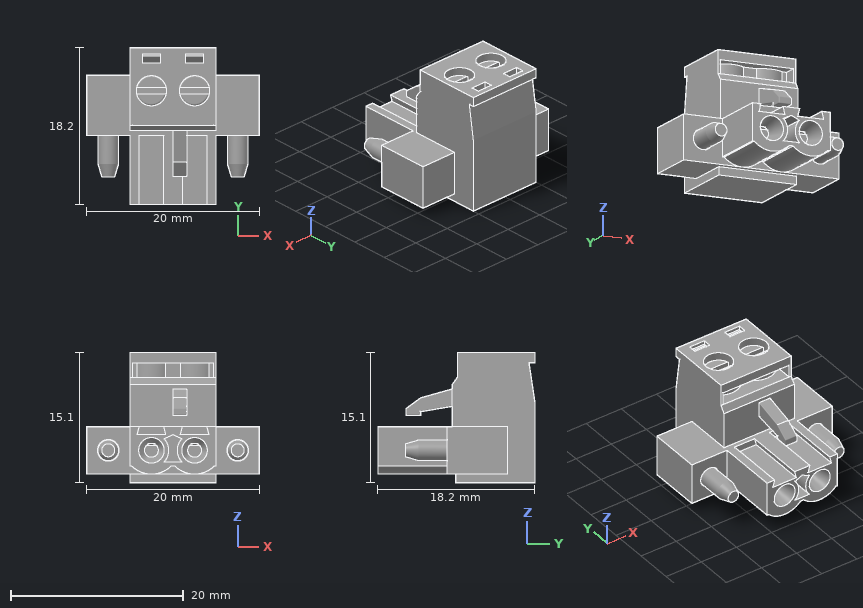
import cadquery as cq
import math


pitch = 5.0
pole_xs = (-pitch / 2, pitch / 2)
housing_width = 2 * pitch
half_width = housing_width / 2
flange_width = 4 * pitch
total_depth = 18.2
total_height = 15.1

flange_front = 8.0
flange_back = 15.0
flange_bottom = 1.0
flange_top = 6.52
axis_z = (flange_bottom + flange_top) / 2
nose_edge_z = 1.95
belly_half_chord = 2.28

foot_front = 9.0
shoulder_front = 8.6
shoulder_top = 11.4
head_front = 9.2
head_bottom = 12.22
lip_height = 1.2
lip_bottom = total_height - lip_height
lip_overhang = 0.68
back_slope_start = 9.35

recess_width = 9.4
recess_depth = 1.85
bump_radius = 2.7

groove_top_width = 2.85
groove_floor_width = 3.32
groove_depth = 0.95

pocket_wall_radius = 2.0
pocket_half_height = 1.35
pocket_peak = 1.82

socket_mouth_dia = 2.95
socket_throat_dia = 1.6
socket_depth = 2.6
contact_size = 2.0
contact_length = 4.0
contact_step_z = 0.55
contact_step_depth = 0.25

screw_y = 13.2
screw_dia = 3.5
screw_sink = 0.95
screw_height = 1.6
screw_top = total_height - screw_sink
screw_bottom = screw_top - screw_height
screw_round = 0.22
driver_slot_width = 0.8
driver_slot_depth = 0.8

test_slot_width = 2.05
test_slot_back = 17.48
test_slot_front = 16.45
test_slot_depth = 1.6
test_slot_bottom = total_height - test_slot_depth
test_piece_sink = 0.48
test_piece_flat = 0.28

pin_x = 1.5 * pitch
pin_xs = (-pin_x, pin_x)
pin_dia = 2.4
pin_hole_dia = 2.5
pin_hole_depth = 2.0
pin_taper_start = 4.7
pin_tip_y = 3.2
pin_tip_dia = 1.5

lever_left = -0.02
lever_width = 1.62
lever_root_top = 10.88
lever_root_bottom = 8.85
lever_bend_y = 4.95
lever_bend_z = 9.85
lever_tip_y = 3.25
lever_tip_z = 8.6
lever_hook_top = 8.22
lever_hook_bottom = 7.78
lever_round = 0.12


def box(x_center, width, y_front, y_back, z_bottom, z_top):
    """Box centred on x_center between the given Y and Z limits."""
    size = (width, y_back - y_front, z_top - z_bottom)
    corner = (x_center - width / 2, y_front, z_bottom)
    return cq.Workplane("XY").box(*size, centered=False).translate(corner)


def facing_back(y):
    """Sketch plane at the given Y whose extrusions run toward +Y; local y is -Z."""
    return cq.Workplane(cq.Plane(origin=(0, y, 0), xDir=(1, 0, 0), normal=(0, 1, 0)))


def prism_along_y(outline, y_front, y_back):
    """Extrude a closed outline of (x, z) drawn on the XZ plane from y_front to y_back."""
    return outline.extrude(-(y_back - y_front)).translate((0, y_front, 0))


def make_upper_housing():
    outline = [
        (foot_front, 0),
        (total_depth, 0),
        (total_depth, back_slope_start),
        (total_depth - lip_overhang, lip_bottom),
        (total_depth, lip_bottom),
        (total_depth, total_height),
        (head_front, total_height),
        (head_front, head_bottom),
        (shoulder_front, shoulder_top),
        (shoulder_front, flange_bottom),
        (foot_front, flange_bottom),
    ]
    return cq.Workplane("YZ").polyline(outline).close().extrude(half_width, both=True)


def make_nose():
    """Nose block with a rounded belly under each socket."""
    left, right = pole_xs
    outline = (
        cq.Workplane("XZ")
        .moveTo(-half_width, flange_top)
        .lineTo(-half_width, nose_edge_z)
        .lineTo(left - belly_half_chord, nose_edge_z)
        .threePointArc((left, flange_bottom), (left + belly_half_chord, nose_edge_z))
        .lineTo(right - belly_half_chord, nose_edge_z)
        .threePointArc((right, flange_bottom), (right + belly_half_chord, nose_edge_z))
        .lineTo(half_width, nose_edge_z)
        .lineTo(half_width, flange_top)
        .close()
    )
    return prism_along_y(outline, 0, flange_front)


def make_head_recess():
    """Front window of the head; a round bump around each screw stands in it."""
    recess = box(0, recess_width, head_front, head_front + recess_depth, head_bottom, lip_bottom)
    for x in pole_xs:
        bump = (
            cq.Workplane("XY", origin=(x, screw_y, head_bottom))
            .circle(bump_radius)
            .extrude(lip_bottom - head_bottom)
        )
        recess = recess.cut(bump)
    return recess


def make_groove(x):
    """Dovetail groove, open at the mating face."""
    floor_z = flange_top - groove_depth
    outline = (
        cq.Workplane("XZ")
        .moveTo(x - groove_top_width / 2, flange_top)
        .lineTo(x + groove_top_width / 2, flange_top)
        .lineTo(x + groove_floor_width / 2, floor_z)
        .lineTo(x - groove_floor_width / 2, floor_z)
        .close()
    )
    return prism_along_y(outline, 0, flange_front)


def make_center_pocket():
    """Pocket between the sockets, with side walls concentric to them and a peaked roof."""
    wall_offset = math.sqrt(pocket_wall_radius**2 - pocket_half_height**2)
    corner_x = pitch / 2 - wall_offset
    waist_x = pitch / 2 - pocket_wall_radius
    bottom_z = axis_z - pocket_half_height
    eave_z = axis_z + pocket_half_height
    outline = (
        cq.Workplane("XZ")
        .moveTo(-corner_x, bottom_z)
        .lineTo(corner_x, bottom_z)
        .threePointArc((waist_x, axis_z), (corner_x, eave_z))
        .lineTo(0, axis_z + pocket_peak)
        .lineTo(-corner_x, eave_z)
        .threePointArc((-waist_x, axis_z), (-corner_x, bottom_z))
        .close()
    )
    return prism_along_y(outline, 0, flange_front)


def make_socket(x):
    """Tapered lead-in and, behind it, the square chamber of the contact."""
    cone = (
        facing_back(0)
        .center(x, -axis_z)
        .circle(socket_mouth_dia / 2)
        .workplane(offset=socket_depth)
        .circle(socket_throat_dia / 2)
        .loft()
    )
    half_size = contact_size / 2
    chamber_back = socket_depth + contact_length
    chamber = box(x, contact_size, socket_depth, chamber_back, axis_z - half_size, axis_z + half_size)
    return cone.union(chamber)


def make_screw_hole(x):
    return (
        cq.Workplane("XY", origin=(x, screw_y, screw_bottom))
        .circle(screw_dia / 2)
        .extrude(total_height - screw_bottom)
    )


def make_test_slot(x):
    return box(x, test_slot_width, test_slot_front, test_slot_back, test_slot_bottom, total_height)


def make_pin_hole(x):
    return facing_back(flange_front).center(x, -axis_z).circle(pin_hole_dia / 2).extrude(pin_hole_depth)


def make_housing():
    flange = box(0, flange_width, flange_front, flange_back, flange_bottom, flange_top)
    body = make_upper_housing().union(flange).union(make_nose())
    body = body.cut(make_head_recess()).cut(make_center_pocket())
    for x in pole_xs:
        for cavity in (make_groove, make_socket, make_screw_hole, make_test_slot):
            body = body.cut(cavity(x))
    for x in pin_xs:
        body = body.cut(make_pin_hole(x))
    return body.clean()


def make_contact(x):
    """Contact block whose front steps back below a slanted lead-in."""
    half_size = contact_size / 2
    front = socket_depth
    back = front + contact_length
    outline = [
        (front, axis_z + half_size),
        (front, axis_z + socket_throat_dia / 2),
        (front + contact_step_depth, axis_z + contact_step_z),
        (front + contact_step_depth, axis_z - half_size),
        (back, axis_z - half_size),
        (back, axis_z + half_size),
    ]
    start = x - half_size
    return cq.Workplane("YZ", origin=(start, 0, 0)).polyline(outline).close().extrude(contact_size)


def make_screw(x):
    """Slotted screw head with a rounded rim."""
    head = (
        cq.Workplane("XY", origin=(x, screw_y, screw_bottom))
        .circle(screw_dia / 2)
        .extrude(screw_height)
        .faces(">Z")
        .edges()
        .fillet(screw_round)
    )
    slot_front = screw_y - driver_slot_width / 2
    slot_back = screw_y + driver_slot_width / 2
    slot_floor = screw_top - driver_slot_depth
    return head.cut(box(x, screw_dia, slot_front, slot_back, slot_floor, screw_top))


def make_test_piece(x):
    """Block at the bottom of a test slot, its top falling at 45 degrees toward the front."""
    top = total_height - test_piece_sink
    flat_front = test_slot_back - test_piece_flat
    slope_run = flat_front - test_slot_front
    outline = [
        (test_slot_back, test_slot_bottom),
        (test_slot_back, top),
        (flat_front, top),
        (test_slot_front, top - slope_run),
        (test_slot_front, test_slot_bottom),
    ]
    start = x - test_slot_width / 2
    return cq.Workplane("YZ", origin=(start, 0, 0)).polyline(outline).close().extrude(test_slot_width)


def make_pin(x):
    """Round flange pin with a tapered tip, seated on the floor of its hole."""
    half_outline = [
        (0, pin_tip_y),
        (pin_tip_dia / 2, pin_tip_y),
        (pin_dia / 2, pin_taper_start),
        (pin_dia / 2, flange_front + pin_hole_depth),
        (0, flange_front + pin_hole_depth),
    ]
    pin = cq.Workplane("XY").polyline(half_outline).close().revolve(360, (0, 0, 0), (0, 1, 0))
    return pin.translate((x, 0, axis_z))


def make_lever():
    """Hooked latch lever standing on the shoulder, with rounded outer edges."""
    outline = [
        (shoulder_front, lever_root_bottom),
        (shoulder_front, lever_root_top),
        (lever_bend_y, lever_bend_z),
        (lever_tip_y, lever_tip_z),
        (lever_tip_y, lever_hook_bottom),
        (lever_bend_y, lever_hook_bottom),
        (lever_bend_y, lever_hook_top),
    ]
    lever = (
        cq.Workplane("YZ", origin=(lever_left, 0, 0))
        .polyline(outline)
        .close()
        .extrude(lever_width)
    )
    side_edges = lever.faces("<X or >X").edges("not >Y")
    tip_edges = lever.faces("<Y").edges("|X")
    return side_edges.add(tip_edges).fillet(lever_round)


housing = make_housing()
lever = make_lever()
contacts = [make_contact(x).val() for x in pole_xs]
screws = [make_screw(x).val() for x in pole_xs]
test_pieces = [make_test_piece(x).val() for x in pole_xs]
pins = [make_pin(x).val() for x in pin_xs]

result = cq.Compound.makeCompound(
    [housing.val(), lever.val(), *contacts, *screws, *test_pieces, *pins]
)